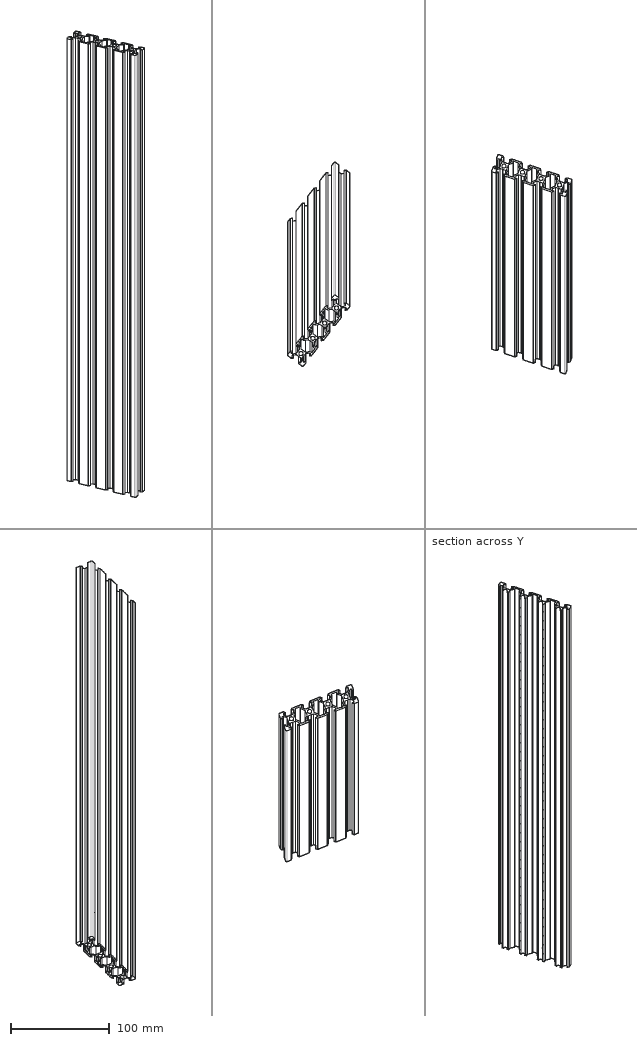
import cadquery as cq

cell = 20.0
cell_count = 4
length = 500.0
width = cell * cell_count
half_cell = cell / 2
corner_radius = 1.2

mouth_half = 4.85
mouth_bevel_half = 4.4
mouth_bevel_depth = 0.2
neck_half = 3.1
pocket_half = 5.5
floor_half = 2.85
lip = 1.8
core_half = 3.9

groove_half = 0.25
groove_depth = 0.25

chamber_half_height = half_cell - lip
chamber_end_half = 2.7
chamber_middle_half = half_cell - core_half
chamber_flat_half = 2.75

bore_diameter = 4.2


def prism(points, center_x):
    """Extrude a closed outline over the full length, moved along X."""
    return cq.Workplane("XY").polyline(points).close().extrude(length).translate((center_x, 0, 0))


def slot(center_x, direction):
    """V-slot opening towards the given direction in degrees (90 is +Y)."""
    neck_level = half_cell - mouth_bevel_depth - (mouth_bevel_half - neck_half)
    ramp = pocket_half - floor_half
    right = [
        (mouth_half, half_cell),
        (mouth_bevel_half, half_cell - mouth_bevel_depth),
        (neck_half, neck_level),
        (neck_half, half_cell - lip),
        (pocket_half, half_cell - lip),
        (pocket_half, core_half + ramp),
        (floor_half, core_half),
        (groove_half, core_half),
    ]
    groove_bottom = [(0, core_half - groove_depth)]
    left = [(-x, y) for x, y in reversed(right)]
    upright = prism(right + groove_bottom + left, 0)
    return upright.rotate((0, 0, 0), (0, 0, 1), direction - 90).translate((center_x, 0, 0))


def chamber(center_x):
    """Hollow between two cores: wide in the middle, tapering at 45 degrees to narrow ends."""
    shoulder = chamber_flat_half + chamber_middle_half - chamber_end_half
    top_right = [
        (chamber_middle_half, chamber_flat_half),
        (chamber_end_half, shoulder),
        (chamber_end_half, chamber_half_height),
    ]
    top = top_right + [(-x, y) for x, y in reversed(top_right)]
    bottom = [(-x, -y) for x, y in top]
    return prism(top + bottom, center_x)


cell_centers = [(index + 0.5) * cell - width / 2 for index in range(cell_count)]

result = cq.Workplane("XY").rect(width, cell).extrude(length).edges("|Z").fillet(corner_radius)

for x in cell_centers:
    result = result.cut(slot(x, 90)).cut(slot(x, -90))
result = result.cut(slot(cell_centers[0], 180)).cut(slot(cell_centers[-1], 0))

for x in cell_centers[:-1]:
    result = result.cut(chamber(x + half_cell))

bore_positions = [(x, 0) for x in cell_centers]
bores = cq.Workplane("XY").pushPoints(bore_positions).circle(bore_diameter / 2).extrude(length)
result = result.cut(bores)